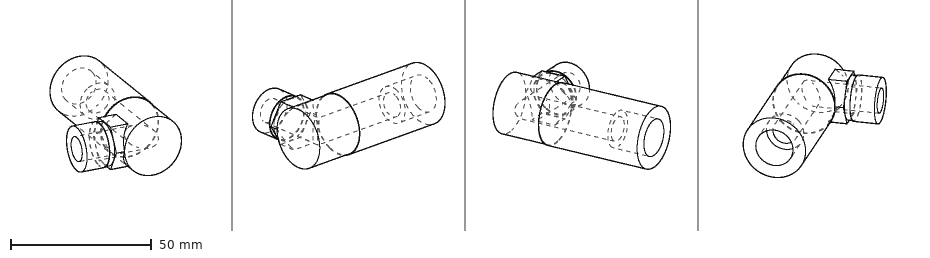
import cadquery as cq
import math

overall_length = 60.0
overall_width = 37.0
sleeve_diameter = 23.0
sleeve_length = 41.0
block_diameter = 22.5
block_length = overall_length - sleeve_length

outlet_x = sleeve_length + block_length / 2
outlet_reach = overall_width - sleeve_diameter / 2
thread_diameter = 16.7
thread_length = 9.0
relief_diameter = 16.15
relief_length = 2.05
hex_across_flats = 16.45
hex_across_corners = hex_across_flats / math.cos(math.radians(30))
hex_reach = outlet_reach - thread_length - relief_length

bore_diameter = 9.0
socket_diameter = 13.7
socket_depth = 15.0


def rod_x(diameter, start, length):
    """Cylinder about the X axis, from x = start towards +X."""
    return cq.Workplane("YZ", origin=(start, 0, 0)).circle(diameter / 2).extrude(length)


def outlet_plane(y=0.0):
    """Plane centred on the outlet axis and facing -Y."""
    return cq.Workplane("XZ", origin=(outlet_x, y, 0))


def rod_outlet(diameter, length):
    """Cylinder on the outlet axis, from the barrel axis towards -Y."""
    return outlet_plane().circle(diameter / 2).extrude(length)


def make_barrel():
    sleeve = rod_x(sleeve_diameter, 0, sleeve_length)
    block = rod_x(block_diameter, sleeve_length, block_length)
    return sleeve.union(block)


def make_outlet():
    hexagon = outlet_plane().polygon(6, hex_across_corners).extrude(hex_reach)
    relief = rod_outlet(relief_diameter, hex_reach + relief_length)
    thread = outlet_plane(-hex_reach - relief_length).circle(thread_diameter / 2).extrude(thread_length)
    return hexagon.union(relief).union(thread)


def make_passage():
    """Right-angle bore with a mitred corner, plus the socket."""
    centreline = cq.Workplane("XY").polyline([(0, 0), (outlet_x, 0), (outlet_x, -outlet_reach)])
    bore_profile = cq.Workplane("YZ").circle(bore_diameter / 2)
    bore = bore_profile.sweep(centreline, transition="right")
    socket = rod_x(socket_diameter, 0, socket_depth)
    return bore.union(socket)


result = make_barrel().union(make_outlet()).cut(make_passage())